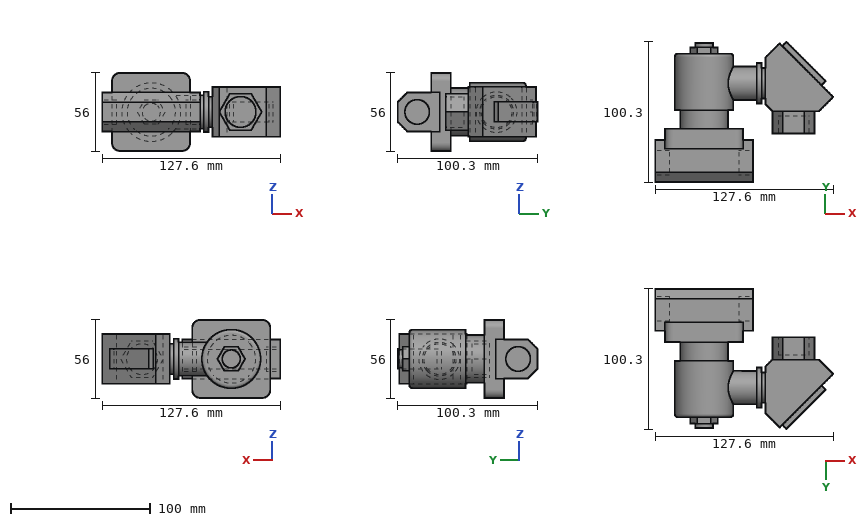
import cadquery as cq
import math


block_length = 70.2
block_height = 28.1
block_front_y = -14.0
block_back_y = 16.1
block_chamfer = 7.0
flow_bore_diameter = 17.6
flow_bore_depth = 10.2
flange_size = 56.0
flange_front_y = 10.0
flange_thickness = 14.2
flange_corner_radius = 5.9
neck_diameter = 34.5

coil_diameter = 42.1
coil_front_y = 37.5
coil_length = 40.5
coil_rim_radius = 2.4
nut_across_corners = 19.8
nut_thickness = 4.5
stud_diameter = 12.9
stud_protrusion = 3.2

arm_y = 56.7
arm_diameter = 24.1
ring_diameter = 29.1
ring_start_x = 37.7
ring_thickness = 3.6
spigot_diameter = 22.0

plug_left_x = 43.9
plug_front_y = 36.6
plug_height = 35.7
plug_corner_cut = 5.0
plug_leg = 38.4
plug_tip_cut = 10.2
cover_length = 39.8
cover_width = 14.3
cover_thickness = 4.2
cover_tip_margin = 2.7
gland_x = 64.1
gland_across_corners = 30.4
gland_length = 16.1
gland_bore_diameter = 22.1
gland_bore_depth = 12.8


def plane_facing_y(x, y):
    """Sketch plane at (x, y, 0) whose normal is +Y and local X is global X."""
    return cq.Plane(origin=(x, y, 0), xDir=(1, 0, 0), normal=(0, 1, 0))


def plane_facing_x(x, y):
    """Sketch plane at (x, y, 0) whose normal is +X."""
    return cq.Plane(origin=(x, y, 0), xDir=(0, 1, 0), normal=(1, 0, 0))


def make_valve_body():
    flange_back_y = flange_front_y + flange_thickness

    block_depth = block_back_y - block_front_y
    block_middle_y = (block_back_y + block_front_y) / 2
    body = (
        cq.Workplane("XY")
        .box(block_length, block_depth, block_height)
        .faces("<Y").edges("|X").chamfer(block_chamfer)
        .translate((0, block_middle_y, 0))
    )
    flange = (
        cq.Workplane(plane_facing_y(0, flange_front_y))
        .rect(flange_size, flange_size)
        .extrude(flange_thickness)
        .edges("|Y").fillet(flange_corner_radius)
    )
    neck = (
        cq.Workplane(plane_facing_y(0, flange_back_y))
        .circle(neck_diameter / 2)
        .extrude(coil_front_y - flange_back_y)
    )
    body = body.union(flange).union(neck)

    for side in (-1, 1):
        bore = (
            cq.Workplane(plane_facing_x(side * block_length / 2, 0))
            .circle(flow_bore_diameter / 2)
            .extrude(-side * flow_bore_depth)
        )
        body = body.cut(bore)
    return body


def make_coil():
    coil_back_y = coil_front_y + coil_length
    nut_back_y = coil_back_y + nut_thickness

    coil = (
        cq.Workplane(plane_facing_y(0, coil_front_y))
        .circle(coil_diameter / 2)
        .extrude(coil_length)
        .faces(">Y").edges().fillet(coil_rim_radius)
    )
    nut = (
        cq.Workplane(plane_facing_y(0, coil_back_y))
        .polygon(6, nut_across_corners)
        .extrude(nut_thickness)
    )
    stud = (
        cq.Workplane(plane_facing_y(0, nut_back_y))
        .circle(stud_diameter / 2)
        .extrude(stud_protrusion)
    )
    coil = coil.union(nut).union(stud)

    ring_end_x = ring_start_x + ring_thickness
    arm_sections = (
        (arm_diameter, 0, ring_start_x),
        (ring_diameter, ring_start_x, ring_end_x),
        (spigot_diameter, ring_end_x, plug_left_x),
    )
    for diameter, start_x, end_x in arm_sections:
        section = (
            cq.Workplane(plane_facing_x(start_x, arm_y))
            .circle(diameter / 2)
            .extrude(end_x - start_x)
        )
        coil = coil.union(section)
    return coil


def make_plug():
    tip_offset = plug_leg + plug_tip_cut
    upper_tip = (plug_left_x + plug_tip_cut, plug_front_y + tip_offset)
    right_tip = (plug_left_x + tip_offset, plug_front_y + plug_tip_cut)
    plug = (
        cq.Workplane("XY", origin=(0, 0, -plug_height / 2))
        .polyline([
            (plug_left_x, plug_front_y + plug_corner_cut),
            (plug_left_x, plug_front_y + plug_leg),
            upper_tip,
            right_tip,
            (plug_left_x + plug_leg, plug_front_y),
            (plug_left_x + plug_corner_cut, plug_front_y),
        ])
        .close()
        .extrude(plug_height)
    )

    slope = math.sqrt(0.5)
    cover_plane = cq.Plane(
        origin=(upper_tip[0], upper_tip[1], 0),
        xDir=(slope, -slope, 0),
        normal=(slope, slope, 0),
    )
    cover = (
        cq.Workplane(cover_plane)
        .center(cover_tip_margin + cover_length / 2, 0)
        .rect(cover_length, cover_width)
        .extrude(cover_thickness)
    )

    gland_plane = plane_facing_y(gland_x, plug_front_y - gland_length)
    gland = cq.Workplane(gland_plane).polygon(6, gland_across_corners).extrude(gland_length)
    gland_bore = cq.Workplane(gland_plane).circle(gland_bore_diameter / 2).extrude(gland_bore_depth)
    return plug.union(cover).union(gland).cut(gland_bore)


valve_body = make_valve_body().solids()
coil = make_coil().solids()
plug = make_plug().solids()

result = cq.Compound.makeCompound([valve_body.val(), coil.val(), plug.val()])